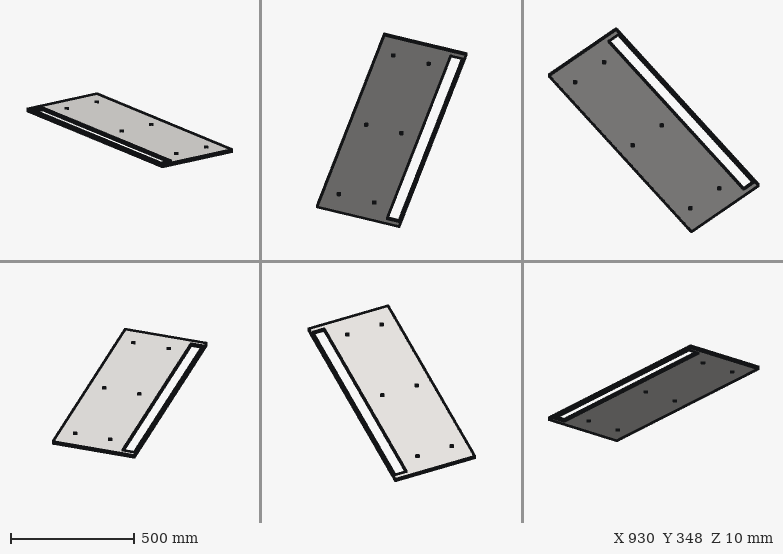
import cadquery as cq

length = 930.0
width = 348.0
thickness = 10.0

side_margin = 24.0
front_margin = 8.0
slot_width = 50.0
slot_length = length - 2 * side_margin

hole_diameter = 10.0
columns = 3
rows = 2
column_spacing = 376.0
row_spacing = 150.0
back_row_inset = 65.0

plate = cq.Workplane("XY").box(length, width, thickness, centered=False)

slot = (
    cq.Workplane("XY")
    .box(slot_length, slot_width, thickness, centered=False)
    .translate((side_margin, front_margin, 0))
)

hole_grid_y = width - back_row_inset - row_spacing / 2
holes = (
    cq.Workplane("XY")
    .center(length / 2, hole_grid_y)
    .rarray(column_spacing, row_spacing, columns, rows)
    .circle(hole_diameter / 2)
    .extrude(thickness)
)

result = plate.cut(slot).cut(holes)